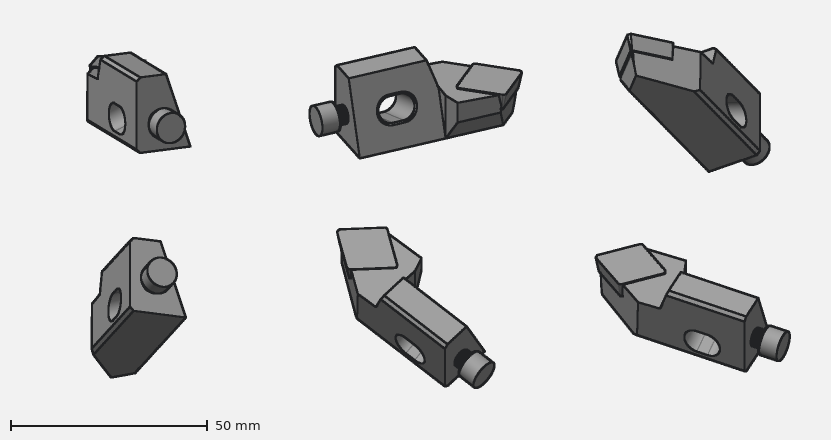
import cadquery as cq
import math

total_length = 55.0
height = 20.0
far = 82.5

shank_end_x = 46.9
base_width = 15.05
top_width = 8.25
edge_chamfer = 1.0
wall_foot_x = 23.15
wall_foot_z = 13.5
wall_angle = 17.0

head_width = 19.2
head_end_x = 22.95
head_bevel_start_x = 21.45
head_overhang_z = 6.6
head_drop = 0.36
seat_band = 0.8
flank_relief = 5.4
head_nose_cut = 0.35
flank_inset = 0.95

insert_width = 12.7
insert_thickness = 4.75
insert_corner = 80.0
insert_clearance = 7.0
nose_radius = 0.8
nose_cut = 0.75
insert_center = (9.3, 12.0, 12.55)
insert_turn = 45.0
rake_angle = 4.0

slot_center_x = 35.0
slot_center_z = 6.05
slot_spacing = 3.0
slot_radius = 3.49
slot_flare = 0.55
slot_flare_depth = 0.35

screw_y = 5.9
screw_z = 8.15
head_radius = 3.99
head_length = 5.2
head_edge_length = 0.35
head_edge_depth = 0.1
thread_radius = 2.55
thread_pitch = 0.5
thread_depth = 0.3
thread_count = 4
neck_radius = 2.3

back_slope = math.atan((base_width - top_width) / height)

turn = math.radians(insert_turn)
rake = math.radians(rake_angle)
rake_plane = cq.Plane(
    origin=insert_center,
    xDir=(math.cos(turn), math.sin(turn), 0),
    normal=(
        -math.sin(rake) * math.sin(turn),
        math.sin(rake) * math.cos(turn),
        math.cos(rake),
    ),
)

corner = math.radians(insert_corner)
side_x = math.cos(corner)
side_y = -math.sin(corner)
insert_edge = insert_width / math.sin(corner)


def nose_corner(inset):
    """Sharp nose corner of the rhombus, with both of its edges moved in by inset."""
    shift = inset / math.sin(corner)
    x = -insert_edge * (1 + side_x) / 2 + shift * (1 + side_x)
    y = -insert_edge * side_y / 2 + shift * side_y
    return x, y


def wedge_points(nose, length, cut):
    """Rhombus from the nose with its edges of the given length, the nose cut off by a flat."""
    x, y = nose
    return [
        (x + cut, y),
        (x + length, y),
        (x + length * (1 + side_x), y + length * side_y),
        (x + length * side_x, y + length * side_y),
        (x + cut * side_x, y + cut * side_y),
    ]


def rounded_insert_outline():
    """Top outline of the insert: a flat at the nose and arcs at the other three corners."""
    points = wedge_points(nose_corner(0), insert_edge, nose_cut)
    block_height = 0.55
    block = cq.Workplane("XY").polyline(points).close().extrude(block_height)
    for x, y in points[1:4]:
        block = block.edges(cq.NearestToPointSelector((x, y, block_height / 2))).fillet(nose_radius)
    return block.faces("<Z").wires().val()


def make_insert():
    """Plate that tapers inward from its top face."""
    plate = cq.Workplane("XY").add(rounded_insert_outline()).toPending()
    plate = plate.extrude(-insert_thickness, taper=insert_clearance)
    return cq.Workplane(plate.val().moved(cq.Location(rake_plane)))


def make_shank():
    """Straight bar with a sloping back and two chamfered edges on its flat side."""
    outline = [
        (0, edge_chamfer),
        (edge_chamfer, 0),
        (base_width, 0),
        (top_width, height),
        (edge_chamfer, height),
        (0, height - edge_chamfer),
    ]
    return cq.Workplane("YZ").polyline(outline).close().extrude(shank_end_x)


def make_head():
    """Wider front block that overhangs the back of the shank."""
    section = [
        (0, edge_chamfer),
        (edge_chamfer, 0),
        (base_width, 0),
        (head_width, head_overhang_z),
        (head_width, height),
        (0, height),
    ]
    plan = [
        (0, 0),
        (head_end_x, 0),
        (head_end_x, base_width),
        (head_bevel_start_x, head_width),
        (0, head_width),
    ]
    head = cq.Workplane("YZ").polyline(section).close().extrude(head_end_x)
    return head.intersect(cq.Workplane("XY").polyline(plan).close().extrude(height))


def space_above_head():
    """Space over the raked head surface, in front of the sloping shank wall."""
    rise = far * math.tan(math.radians(wall_angle))
    front_of_wall = (
        cq.Workplane("XZ")
        .polyline([
            (-far, wall_foot_z - far),
            (wall_foot_x - rise, wall_foot_z - far),
            (wall_foot_x + rise, wall_foot_z + far),
            (-far, wall_foot_z + far),
        ])
        .close()
        .extrude(far, both=True)
    )
    above = cq.Workplane(rake_plane).workplane(offset=-head_drop).rect(2 * far, 2 * far).extrude(far)
    return above.intersect(front_of_wall)


def flank_wedge():
    """Space between the two head flanks, square to the rake plane."""
    points = wedge_points(nose_corner(flank_inset), far, head_nose_cut)
    return cq.Workplane(rake_plane).polyline(points).close().extrude(far, both=True)


def flank_relief_space():
    """Wedge that leans the main flank further in below the seat band."""
    edge_y = nose_corner(flank_inset)[1]
    start_z = -insert_thickness - seat_band
    lean = far * math.tan(math.radians(flank_relief))
    relief = (
        cq.Workplane("YZ")
        .polyline([
            (edge_y, start_z),
            (edge_y + far, start_z),
            (edge_y + far, start_z - far),
            (edge_y - lean, start_z - far),
        ])
        .close()
        .extrude(far, both=True)
    )
    return cq.Workplane(relief.val().moved(cq.Location(rake_plane)))


def slot_space():
    """Through slot with a flared mouth on the sloping back."""
    slot_plane = cq.Plane(
        origin=(slot_center_x, 0, slot_center_z),
        xDir=(1, 0, 0),
        normal=(0, math.cos(back_slope), math.sin(back_slope)),
    )
    back = (base_width - slot_center_z * math.tan(back_slope)) * math.cos(back_slope)

    def slot(offset, radius):
        return (
            cq.Workplane(slot_plane)
            .workplane(offset=offset)
            .slot2D(slot_spacing + 2 * radius, 2 * radius)
        )

    through = slot(-height, slot_radius).extrude(3 * height)
    flare_angle = math.degrees(math.atan(slot_flare / slot_flare_depth))
    flare = slot(back, slot_radius + slot_flare).extrude(-slot_flare_depth, taper=flare_angle)
    return through.union(flare)


def make_screw():
    """Threaded stem with ring-shaped thread turns, a neck and a cylindrical head."""
    head_x = total_length - head_length
    points = [(shank_end_x, 0), (shank_end_x, thread_radius - thread_depth)]
    for turn_number in range(thread_count):
        start = shank_end_x + turn_number * thread_pitch
        points.append((start + thread_pitch / 2, thread_radius))
        points.append((start + thread_pitch, thread_radius - thread_depth))
    thread_end_x = shank_end_x + thread_count * thread_pitch
    points += [
        (thread_end_x, neck_radius),
        (head_x, neck_radius),
        (head_x, head_radius - head_edge_depth),
        (head_x + head_edge_length, head_radius),
        (total_length, head_radius),
        (total_length, 0),
    ]
    screw = cq.Workplane("XY").polyline(points).close().revolve(360, (0, 0, 0), (1, 0, 0))
    return screw.translate((0, screw_y, screw_z))


def make_holder(insert):
    """Cartridge body with its adjusting screw and a pocket that fits the insert."""
    holder = make_shank().union(make_head())
    holder = holder.intersect(flank_wedge())
    holder = holder.cut(space_above_head()).cut(flank_relief_space())
    holder = holder.cut(slot_space()).union(make_screw())
    return holder.cut(insert)


insert = make_insert()
holder = make_holder(insert)

result = cq.Compound.makeCompound([*holder.solids().vals(), insert.val()])